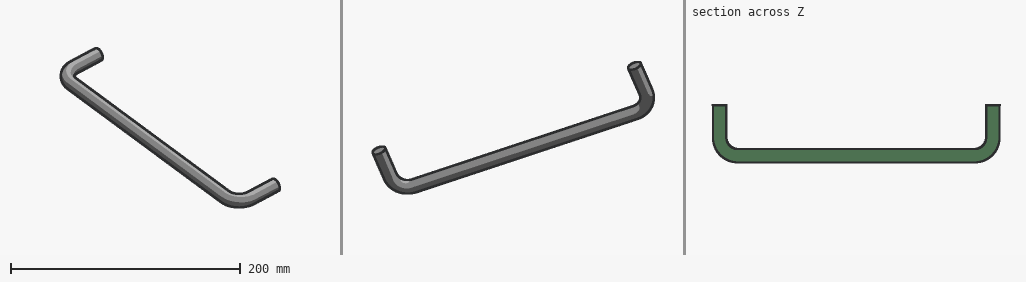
import cadquery as cq
import math

length = 250.0
depth = 50.0
rod_diameter = 12.0
bend_radius = 16.0

rod_radius = rod_diameter / 2
leg_x = length / 2 - rod_radius
grip_y = rod_radius - depth
bend_x = leg_x - bend_radius
bend_y = grip_y + bend_radius

diagonal = bend_radius * math.sqrt(0.5)
bend_mid_x = bend_x + diagonal
bend_mid_y = bend_y - diagonal

centreline = (
    cq.Workplane("XY")
    .moveTo(-leg_x, 0)
    .lineTo(-leg_x, bend_y)
    .threePointArc((-bend_mid_x, bend_mid_y), (-bend_x, grip_y))
    .lineTo(bend_x, grip_y)
    .threePointArc((bend_mid_x, bend_mid_y), (leg_x, bend_y))
    .lineTo(leg_x, 0)
)

result = cq.Workplane("XZ", origin=(-leg_x, 0, 0)).circle(rod_radius).sweep(centreline)